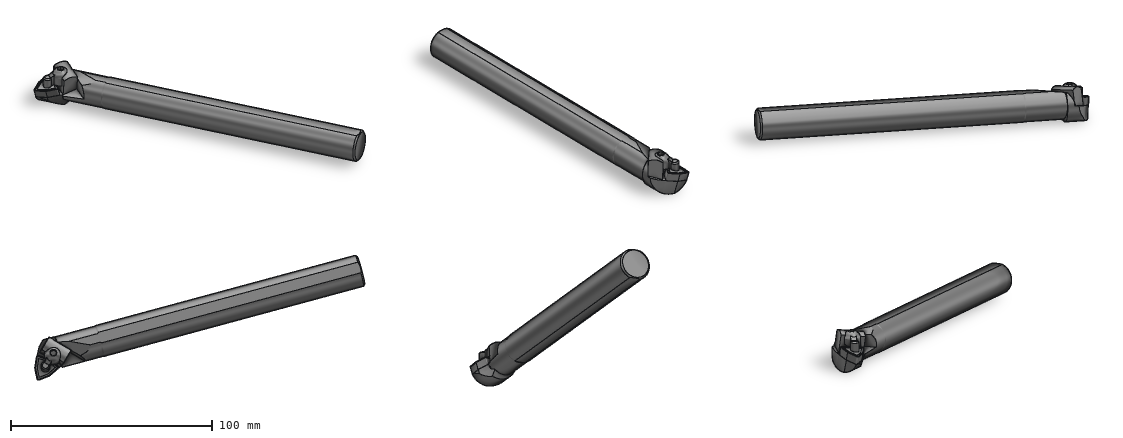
import cadquery as cq
import math

total_length = 170.0
shank_radius = 8.0
flat_height = 7.5
end_chamfer = 0.8
neck_radius = 7.8
neck_end = 34.8
neck_taper = 0.7

head_radius = 9.4
head_axis_y = -1.4
head_axis_z = -0.3
head_end = 14.0
head_taper = 2.5
side_inset = 0.2
head_bend = (0.2, 10.5)
bend_direction = 45.0
hollow_end = (10.5, -1.0)

inscribed_radius = 4.8
corner_angle = 80.0
insert_thickness = 4.2
nose_radius = 0.8
nose_direction = 225.0
land_width = 0.42
groove_width = 0.8
groove_depth = 0.25
insert_x = 5.5
insert_y = -5.1
insert_z = -2.7
slope_x = 0.1
slope_y = 0.25

wall_x = 17.8
relief_height = 6.3
relief_slope_x = 0.17
relief_slope_y = 0.36

heel_start_y = -1.5
heel_end_y = 7.5
heel_depth = 7.3
heel_rise = 0.2
heel_wall_height = 7.1
heel_crown_height = 8.0
heel_front_height = 6.5
heel_crown_depth = 2.7

screw_x = 10.9
screw_y = -1.7
screw_seat_z = 6.1
screw_head_radius = 4.5
dome_height = 3.5
dome_top_radius = 1.7
socket_size = 3.4
socket_depth = 2.0
clamp_nose_x = 5.6
clamp_nose_y = -6.1
clamp_nose_radius = 2.2
clamp_nose_top_z = 6.1
clamp_nose_chamfer = 0.7
clamp_web_width = 3.0
clamp_web_slope = 0.5

oversize = 34.0

seat = cq.Plane(
    origin=(insert_x, insert_y, insert_z),
    xDir=(1, 0, slope_x),
    normal=(-slope_x, -slope_y, 1),
)


def polar(radius, angle):
    """Point at a distance and an angle in degrees from the origin."""
    return radius * math.cos(math.radians(angle)), radius * math.sin(math.radians(angle))


def above_slope(x, y, z, rise_x, rise_y):
    """Everything above a sloping plane through a point."""
    plane = cq.Plane(origin=(x, y, z), xDir=(1, 0, rise_x), normal=(-rise_x, -rise_y, 1))
    return cq.Workplane(plane).rect(4 * oversize, 4 * oversize).extrude(2 * oversize)


def above_seat(height):
    """Everything more than a given height above the seat."""
    return cq.Workplane(seat).workplane(offset=height).rect(4 * oversize, 4 * oversize).extrude(2 * oversize)


def trigon_points(radius):
    """Alternate sharp and blunt corners of a trigon around an inscribed circle, nose first."""
    half_sharp = math.radians(corner_angle / 2)
    half_blunt = math.radians(120 - corner_angle / 2)
    points = []
    for turn in range(3):
        angle = nose_direction + 120 * turn
        points.append(polar(radius / math.sin(half_sharp), angle))
        points.append(polar(radius / math.sin(half_blunt), angle + 60))
    return points


def trigon(radius, height, base=0.0):
    """Trigon prism square to the seat, starting at a height above it."""
    return cq.Workplane(seat).workplane(offset=base).polyline(trigon_points(radius)).close().extrude(height)


def make_insert_blank():
    """Plain insert with its three sharp corners rounded."""
    blank = trigon(inscribed_radius, insert_thickness)
    sharp_corners = []
    for point in trigon_points(inscribed_radius)[::2]:
        middle = seat.toWorldCoords((*point, insert_thickness / 2))
        sharp_corners += blank.edges(cq.selectors.NearestToPointSelector(middle.toTuple())).vals()
    return blank.newObject(sharp_corners).fillet(nose_radius)


def make_insert():
    """Insert with a chip groove around its top."""
    groove_base = insert_thickness - groove_depth
    groove = trigon(inscribed_radius - land_width, groove_depth, groove_base)
    island = trigon(inscribed_radius - land_width - groove_width, groove_depth, groove_base)
    return make_insert_blank().cut(groove.cut(island))


def make_shank():
    """Round shank with a widening start, a chamfered end and two flats."""
    profile = [
        (neck_end, 0),
        (neck_end, neck_radius),
        (neck_end + neck_taper, shank_radius),
        (total_length - end_chamfer, shank_radius),
        (total_length, shank_radius - end_chamfer),
        (total_length, 0),
    ]
    shank = cq.Workplane("XY").polyline(profile).close().revolve(360, (0, 0), (1, 0))
    between_flats = cq.Workplane("XY").box(3 * total_length, oversize, 2 * flat_height)
    return shank.intersect(between_flats)


def make_neck():
    """Round neck with a flat on top only."""
    neck = cq.Workplane("YZ", origin=(head_end, 0, 0)).circle(neck_radius).extrude(neck_end - head_end)
    return neck.cut(above_slope(0, 0, flat_height, 0, 0))


def make_head():
    """Round head whose flat sides run down from the insert sides, square to the seat."""
    corners = trigon_points(inscribed_radius - side_inset)
    nose, right_blunt, right_sharp = corners[:3]
    left_sharp, left_blunt = corners[4:]
    hollow_start = ((right_blunt[0] + right_sharp[0]) / 2, (right_blunt[1] + right_sharp[1]) / 2)
    bend_run = polar(oversize, bend_direction)
    bend_end = (head_bend[0] + bend_run[0], head_bend[1] + bend_run[1])
    sides = (
        cq.Workplane(seat).workplane(offset=-oversize)
        .moveTo(*nose).lineTo(*right_blunt).lineTo(*hollow_start)
        .tangentArcPoint(hollow_end, relative=False)
        .lineTo(oversize, hollow_end[1]).lineTo(*bend_end).lineTo(*head_bend)
        .lineTo(*left_sharp).lineTo(*left_blunt).close()
        .extrude(2 * oversize)
    )
    round_head = cq.Workplane("YZ", origin=(0, head_axis_y, head_axis_z)).circle(head_radius)
    round_head = round_head.extrude(head_end + head_taper).faces(">X").chamfer(head_taper)
    return round_head.intersect(sides)


def make_pocket():
    """Space above the seat and in front of the wall."""
    corners = [
        (wall_x + oversize, -oversize),
        (wall_x - oversize, oversize),
        (-oversize, oversize),
        (-oversize, -oversize),
    ]
    front = cq.Workplane("XY", origin=(0, 0, -oversize)).polyline(corners).close().extrude(2 * oversize)
    return front.intersect(above_seat(0))


def make_heel():
    """Round-topped clamp heel on the seat, with square ends."""
    end_plane = cq.Plane(
        origin=(wall_x - heel_start_y, heel_start_y, 0),
        xDir=(-1, -1, 0),
        normal=(-1, 1, heel_rise),
    )
    length = math.sqrt(2 + heel_rise**2) * (heel_end_y - heel_start_y)
    heel = (
        cq.Workplane(end_plane).moveTo(0, -oversize).lineTo(0, heel_wall_height)
        .threePointArc((heel_crown_depth, heel_crown_height), (heel_depth, heel_front_height))
        .lineTo(heel_depth, -oversize).close().extrude(length)
    )
    return heel.intersect(above_seat(0))


def make_clamp_nose():
    """Round clamp nose on the insert and the web that climbs from it to the screw."""
    reach_x = screw_x - clamp_nose_x
    reach_y = screw_y - clamp_nose_y
    reach = math.hypot(reach_x, reach_y)
    angle = math.degrees(math.atan2(reach_y, reach_x))
    base = cq.Workplane("XY", origin=(clamp_nose_x, clamp_nose_y, 0))
    tip = base.circle(clamp_nose_radius).extrude(clamp_nose_top_z)
    tip = tip.faces(">Z").chamfer(clamp_nose_chamfer)
    turned = base.transformed(rotate=(0, 0, angle)).center(reach / 2, 0)
    web = turned.rect(reach, clamp_web_width).extrude(screw_seat_z + dome_height / 2)
    web_relief = above_slope(
        clamp_nose_x, clamp_nose_y, clamp_nose_top_z - clamp_nose_chamfer, clamp_web_slope, clamp_web_slope
    )
    return tip.union(web.cut(web_relief))


def make_screw_head():
    """Upright domed screw head on a round boss, before its socket is cut."""
    centre_drop = (screw_head_radius**2 - dome_top_radius**2 - dome_height**2) / (2 * dome_height)
    ball_radius = math.hypot(screw_head_radius, centre_drop)
    middle_height = dome_height / 2
    middle_radius = math.sqrt(ball_radius**2 - (middle_height + centre_drop) ** 2)
    return (
        cq.Workplane("XZ", origin=(screw_x, screw_y, screw_seat_z))
        .moveTo(0, -screw_seat_z).lineTo(screw_head_radius, -screw_seat_z).lineTo(screw_head_radius, 0)
        .threePointArc((middle_radius, middle_height), (dome_top_radius, dome_height))
        .lineTo(0, dome_height).close().revolve(360, (0, 0), (0, 1))
    )


def make_socket():
    """Hexagon key socket, open at the top of the screw head."""
    socket_floor = screw_seat_z + dome_height - socket_depth
    socket = cq.Workplane("XY", origin=(screw_x, screw_y, socket_floor)).polygon(6, socket_size)
    return socket.extrude(2 * socket_depth)


def make_holder():
    """Bar and clamp in one piece, with room for the insert."""
    relief = above_slope(wall_x, 0, relief_height, relief_slope_x, relief_slope_y)
    front = make_head().union(make_neck()).cut(relief).cut(make_pocket())
    clamp_top = make_clamp_nose().union(make_screw_head()).intersect(above_seat(insert_thickness))
    clamp = make_heel().cut(make_insert_blank()).union(clamp_top).cut(make_socket())
    return front.union(make_shank()).union(clamp)


insert = make_insert()
holder = make_holder()
result = cq.Compound.makeCompound([holder.val(), insert.val()])